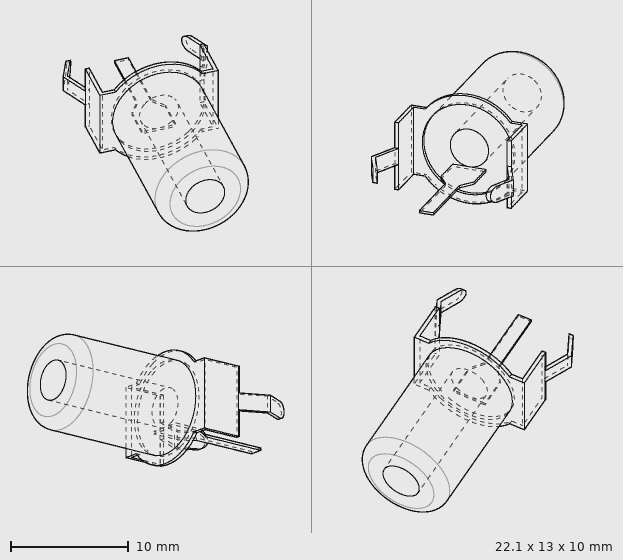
import cadquery as cq
import math

overall_length = 22.1
overall_width = 12.95

barrel_length = 12.18
barrel_radius = 4.15
barrel_end_fillet = 1.0
bore_radius = 1.75
tongue_reach = overall_length - barrel_length
tongue_thickness = 0.22
tongue_tip_width = 1.25
tongue_root_width = 3.03
taper_start = 2.75
taper_end = 3.91

sheet = 0.35
flange_radius = 5.0
arm_height = 6.25
arm_outer_y = 5.3
arm_length = 3.82
clip_height = 1.5
clip_apex_x = -6.25
clip_tip_x = -8.66


def make_barrel():
    """Bored barrel with a rounded far end and a flat tongue tangent to the bore's underside."""
    barrel = cq.Workplane("YZ").circle(barrel_radius).extrude(barrel_length)
    barrel = barrel.faces(">X").edges().fillet(barrel_end_fillet)
    tongue = (
        cq.Workplane("XY", origin=(0, 0, -bore_radius - tongue_thickness))
        .moveTo(0, tongue_root_width / 2)
        .lineTo(-taper_start, tongue_root_width / 2)
        .lineTo(-taper_end, tongue_tip_width / 2)
        .lineTo(-tongue_reach, tongue_tip_width / 2)
        .lineTo(-tongue_reach, -tongue_tip_width / 2)
        .lineTo(-taper_end, -tongue_tip_width / 2)
        .lineTo(-taper_start, -tongue_root_width / 2)
        .lineTo(0, -tongue_root_width / 2)
        .close()
        .extrude(tongue_thickness)
    )
    bore = cq.Workplane("YZ").circle(bore_radius).extrude(barrel_length)
    return barrel.cut(bore).union(tongue)


def make_arm():
    """Arm on the +Y side: a tall flat wall that continues as a narrow V-shaped spring clip."""
    arm_inner_y = arm_outer_y - sheet
    apex_outer_y = overall_width / 2

    bend_inner_x = -arm_length
    apex_rise = apex_outer_y - arm_outer_y
    clip_angle = math.atan2(apex_rise, bend_inner_x - clip_apex_x)
    bend_outer_x = bend_inner_x + sheet * math.tan(clip_angle / 2)
    clip_slope = apex_rise / (bend_outer_x - clip_apex_x)
    apex_inner_y = arm_inner_y + clip_slope * (bend_inner_x - clip_apex_x)
    tip_drop = clip_slope * (clip_apex_x - clip_tip_x)

    strip = (
        cq.Workplane("XY")
        .polyline([
            (0, arm_outer_y),
            (bend_outer_x, arm_outer_y),
            (clip_apex_x, apex_outer_y),
            (clip_tip_x, apex_outer_y - tip_drop),
            (clip_tip_x, apex_inner_y - tip_drop),
            (clip_apex_x, apex_inner_y),
            (bend_inner_x, arm_inner_y),
            (0, arm_inner_y),
        ])
        .close()
        .extrude(arm_height / 2, both=True)
    )

    tip_radius = clip_height / 2
    wall = cq.Workplane("XZ").rect(2 * arm_length, arm_height).extrude(-overall_width)
    clip = (
        cq.Workplane("XZ")
        .moveTo(0, tip_radius)
        .lineTo(clip_tip_x + tip_radius, tip_radius)
        .threePointArc((clip_tip_x, 0), (clip_tip_x + tip_radius, -tip_radius))
        .lineTo(0, -tip_radius)
        .close()
        .extrude(-overall_width)
    )
    return strip.intersect(wall.union(clip))


def make_bracket():
    """Plate with a hole as wide as the barrel and two mirrored spring arms."""
    plate = cq.Workplane("YZ").circle(flange_radius).extrude(-sheet)
    bar = cq.Workplane("YZ").rect(2 * arm_outer_y, arm_height).extrude(-sheet)
    arm = make_arm()
    hole = cq.Workplane("YZ").circle(barrel_radius).extrude(-sheet)
    return plate.union(bar).cut(hole).union(arm).union(arm.mirror("XZ"))


barrel = make_barrel()
bracket = make_bracket()

result = cq.Compound.makeCompound([barrel.val(), bracket.val()])